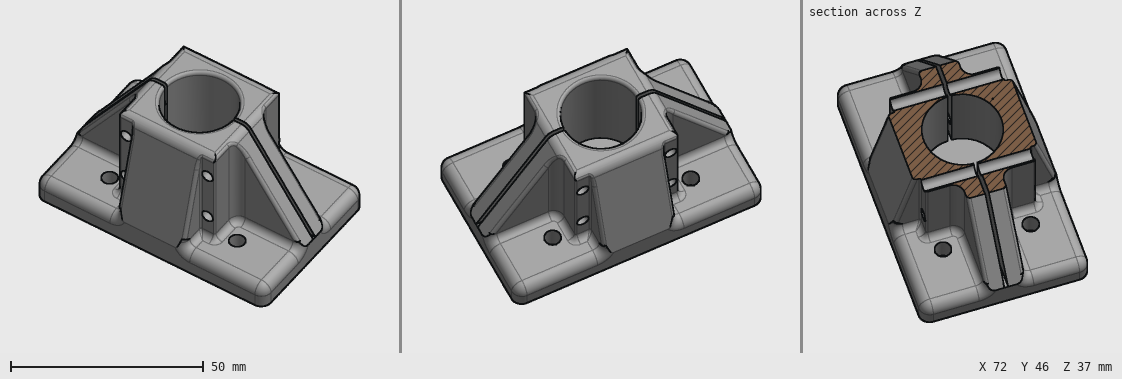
import cadquery as cq

length = 72.0
width = 46.0
height = 37.0
base_height = 7.0

tower_half = 15.0
side_rib_half = 5.5
front_rib_half = 10.5
bore_diameter = 21.0
slot_width = 1.0

base_round = 3.0
top_round = 3.0
rib_cove = 3.0
floor_cove = 2.0
rib_round = 1.0
bore_round = 1.0
small_round = 0.5
rim_runout = 1.7
cove_top = base_height + floor_cove

clear_height = 2 * height

base_hole_diameter = 4.4
base_hole_spacing_x = 40.0
base_hole_spacing_y = 24.0
clamp_hole_diameter = 3.4
clamp_hole_spacing_x = 25.5
clamp_hole_heights = (14.5, 29.5)


def tapered_prism(plane, base_half, depth):
    """Prism with an upright foot and sides that lean in from the base to the tower."""
    return (
        cq.Workplane(plane)
        .moveTo(-base_half, 0)
        .lineTo(base_half, 0)
        .lineTo(base_half, base_height)
        .lineTo(tower_half, height)
        .lineTo(-tower_half, height)
        .lineTo(-base_half, base_height)
        .close()
        .extrude(depth / 2, both=True)
    )


def tapered_body():
    """Solid frustum on its base, with rounded upper edges."""
    body = tapered_prism("XZ", length / 2, width).intersect(tapered_prism("YZ", width / 2, length))
    return body.faces(">Z").edges().fillet(top_round)


def upright_edge(x, y):
    """Selector for the vertical edge that stands at x, y."""
    reach = 0.1
    low = (x - reach, y - reach, 0)
    high = (x + reach, y + reach, clear_height)
    return cq.selectors.BoxSelector(low, high)


def corner_pocket(floor):
    """Stepped volume beside the ribs in the +X +Y corner, above the given floor height."""
    pocket = (
        cq.Workplane("XY", origin=(0, 0, floor))
        .moveTo(front_rib_half, tower_half)
        .lineTo(tower_half, tower_half)
        .lineTo(tower_half, side_rib_half)
        .lineTo(length, side_rib_half)
        .lineTo(length, width)
        .lineTo(front_rib_half, width)
        .close()
        .extrude(clear_height)
    )
    return pocket.edges(upright_edge(tower_half, side_rib_half)).fillet(rib_cove)


def quarter_block():
    """Untapered +X +Y quarter: base plate with its rim, tower and ribs joined by coves."""
    pocket = corner_pocket(base_height).edges(upright_edge(tower_half, tower_half)).fillet(small_round)
    pocket = pocket.faces("<Z").edges().fillet(floor_cove)
    pocket = pocket.edges(upright_edge(front_rib_half, tower_half)).fillet(small_round)
    block = cq.Workplane("XY").box(length / 2, width / 2, clear_height, centered=False)
    block = block.edges(upright_edge(length / 2, width / 2)).fillet(base_round)
    rim_middle = (length / 2, (width / 2 + side_rib_half) / 2, base_height)
    rim_edge = cq.selectors.NearestToPointSelector(rim_middle)
    return block.cut(pocket).edges(rim_edge).fillet(base_round)


def quarter_ribs():
    """Tapered +X +Y quarter of tower and ribs, rounded along the sloped rib edges."""
    pocket = corner_pocket(0)
    pocket = pocket.edges(upright_edge(front_rib_half, tower_half)).fillet(small_round)
    quadrant = cq.Workplane("XY").box(length / 2, width / 2, height, centered=False)
    ribs = tapered_body().intersect(quadrant).cut(pocket)
    mid_height = (base_height + height) / 2
    mid_x = (length / 2 + tower_half) / 2
    mid_y = (width / 2 + tower_half) / 2
    for middle in ((mid_x, side_rib_half, mid_height), (front_rib_half, mid_y, mid_height)):
        ribs = ribs.edges(cq.selectors.NearestToPointSelector(middle)).fillet(rib_round)
    return ribs


def front_rib_end():
    """Outer end of the front rib above a slanted plane, where the rim round stops."""
    round_start = width / 2 - base_round
    return (
        cq.Workplane("YZ")
        .moveTo(round_start, cove_top)
        .lineTo(width / 2, cove_top + rim_runout)
        .lineTo(width / 2, height)
        .lineTo(round_start, height)
        .close()
        .extrude(front_rib_half)
    )


def four_quarters():
    """Base, tower and ribs, mirrored from one quarter."""
    plate = cq.Workplane("XY").box(length / 2, width / 2, cove_top, centered=False)
    block = quarter_block().union(front_rib_end())
    quarter = quarter_ribs().union(plate).intersect(block).intersect(tapered_body())
    half = quarter.union(quarter.mirror("YZ"))
    return half.union(half.mirror("XZ")).clean()


def bore_tool():
    """Blind bore down to the base, with a rounded mouth."""
    radius = bore_diameter / 2
    return (
        cq.Workplane("XZ")
        .moveTo(0, base_height)
        .lineTo(radius, base_height)
        .lineTo(radius, height - bore_round)
        .radiusArc((radius + bore_round, height), bore_round)
        .lineTo(0, height)
        .close()
        .revolve(360, (0, 0, 0), (0, 1, 0))
    )


def slot_tool():
    """Full-length slot that splits the tower and side ribs down to the base."""
    slot = cq.Workplane("XY", origin=(0, 0, base_height))
    return slot.box(length, slot_width, height, centered=(True, True, False))


def base_holes():
    """Four screw holes through the base plate."""
    return (
        cq.Workplane("XY")
        .rect(base_hole_spacing_x, base_hole_spacing_y, forConstruction=True)
        .vertices()
        .circle(base_hole_diameter / 2)
        .extrude(height)
    )


def clamp_holes():
    """Four clamp screw holes through the tower along Y."""
    offset = clamp_hole_spacing_x / 2
    points = [(x, z) for x in (-offset, offset) for z in clamp_hole_heights]
    holes = cq.Workplane("XZ").pushPoints(points).circle(clamp_hole_diameter / 2)
    return holes.extrude(width / 2, both=True)


result = four_quarters()
for tool in (bore_tool(), slot_tool(), base_holes(), clamp_holes()):
    result = result.cut(tool)